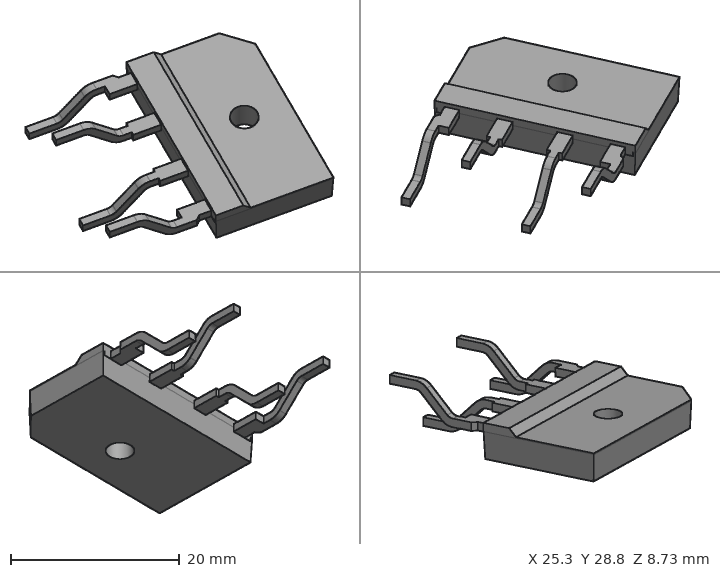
import cadquery as cq
import math


body_width = 25.3
body_depth = 15.33
parting_z = 0.05
bottom_z = -3.45
rear_top_z = 0.17
step_top_z = 1.12
step_depth = 3.57
corner_chamfer = 3.23
draft_inset = 0.15
hole_diameter = 3.4
hole_from_rear = 5.8

overall_length = 28.82
overall_height = 8.73
lead_reach = overall_length - body_depth
lead_pitch = 7.58
lead_width = 1.1
lead_thickness = 1.1
head_length = 3.63
inner_head_width = 1.95
outer_head_reach = 1.85
jog_start = 1.59
embedded_depth = 0.86
embedded_head_reach = 0.98
tip_length = 3.57
bend_angle = 45.0
bend_inner_radius = lead_thickness
lead_offset = (overall_height - lead_thickness) / 2


def make_body():
    """Drafted lower half, straight upper half and the raised front bar with its sloped back."""
    left = -body_width / 2
    right = body_width / 2

    def outline(inset, z):
        cut = corner_chamfer - inset * (2 - math.sqrt(2))
        return (
            cq.Workplane("XY")
            .workplane(offset=z)
            .moveTo(left + inset, inset)
            .lineTo(right - inset, inset)
            .lineTo(right - inset, body_depth - inset)
            .lineTo(left + inset + cut, body_depth - inset)
            .lineTo(left + inset, body_depth - inset - cut)
            .close()
        )

    bottom_wire = outline(draft_inset, bottom_z).val()
    parting_wire = outline(0, parting_z).val()
    lower = cq.Workplane(cq.Solid.makeLoft([bottom_wire, parting_wire], True))
    upper = outline(0, parting_z).extrude(rear_top_z - parting_z)

    slope_run = step_top_z - rear_top_z
    bar = (
        cq.Workplane("YZ")
        .moveTo(0, parting_z)
        .lineTo(0, step_top_z)
        .lineTo(step_depth, step_top_z)
        .lineTo(step_depth + slope_run, rear_top_z)
        .lineTo(step_depth + slope_run, parting_z)
        .close()
        .extrude(body_width / 2, both=True)
    )
    hole = (
        cq.Workplane("XY")
        .workplane(offset=bottom_z)
        .center(0, body_depth - hole_from_rear)
        .circle(hole_diameter / 2)
        .extrude(rear_top_z - bottom_z)
    )
    return lower.union(upper).union(bar).cut(hole)


def make_formed_strip(direction):
    """Narrow lead strip at x = 0, bent up (+1) or down (-1) and then level again."""
    angle = math.radians(bend_angle)
    mid_radius = bend_inner_radius + lead_thickness / 2
    bend_run = mid_radius * math.sin(angle)
    bend_rise = mid_radius * (1 - math.cos(angle))
    ramp_rise = lead_offset - 2 * bend_rise
    ramp_run = ramp_rise / math.tan(angle)
    half_bend_run = mid_radius * math.sin(angle / 2)
    half_bend_rise = mid_radius * (1 - math.cos(angle / 2))

    tip_y = -lead_reach
    last_bend_y = tip_y + tip_length
    first_bend_y = last_bend_y + 2 * bend_run + ramp_run
    path = (
        cq.Workplane("YZ")
        .moveTo(-head_length, 0)
        .lineTo(first_bend_y, 0)
        .threePointArc(
            (first_bend_y - half_bend_run, direction * half_bend_rise),
            (first_bend_y - bend_run, direction * bend_rise),
        )
        .lineTo(last_bend_y + bend_run, direction * (lead_offset - bend_rise))
        .threePointArc(
            (last_bend_y + half_bend_run, direction * (lead_offset - half_bend_rise)),
            (last_bend_y, direction * lead_offset),
        )
        .lineTo(tip_y, direction * lead_offset)
    )
    return (
        cq.Workplane("XZ", origin=(0, -head_length, 0))
        .rect(lead_width, lead_thickness)
        .sweep(path)
    )


def flat_plate(points):
    """Plate of lead thickness centred on the flat-lead mid-plane."""
    return (
        cq.Workplane("XY")
        .polyline(points)
        .close()
        .extrude(lead_thickness / 2, both=True)
    )


def make_inner_lead(direction):
    """Inner lead with a symmetric wide head partly embedded in the body."""
    half = inner_head_width / 2
    head = flat_plate(
        [
            (-half, embedded_depth),
            (half, embedded_depth),
            (half, -head_length),
            (-half, -head_length),
        ]
    )
    return head.union(make_formed_strip(direction))


def make_outer_lead(direction):
    """Left outer lead: its head reaches inwards and jogs outwards in front of the body."""
    half = lead_width / 2
    head = flat_plate(
        [
            (-embedded_head_reach, embedded_depth),
            (outer_head_reach, embedded_depth),
            (outer_head_reach, -head_length),
            (-half, -head_length),
            (-half, -jog_start - half),
            (0, -jog_start),
            (0, 0),
            (-embedded_head_reach, 0),
        ]
    )
    return head.union(make_formed_strip(direction))


result = make_body()
outer_x = 1.5 * lead_pitch
inner_x = 0.5 * lead_pitch
leads = [
    make_outer_lead(-1).translate((-outer_x, 0, 0)),
    make_inner_lead(1).translate((-inner_x, 0, 0)),
    make_inner_lead(-1).translate((inner_x, 0, 0)),
    make_outer_lead(1).mirror("YZ").translate((outer_x, 0, 0)),
]
for lead in leads:
    result = result.union(lead)